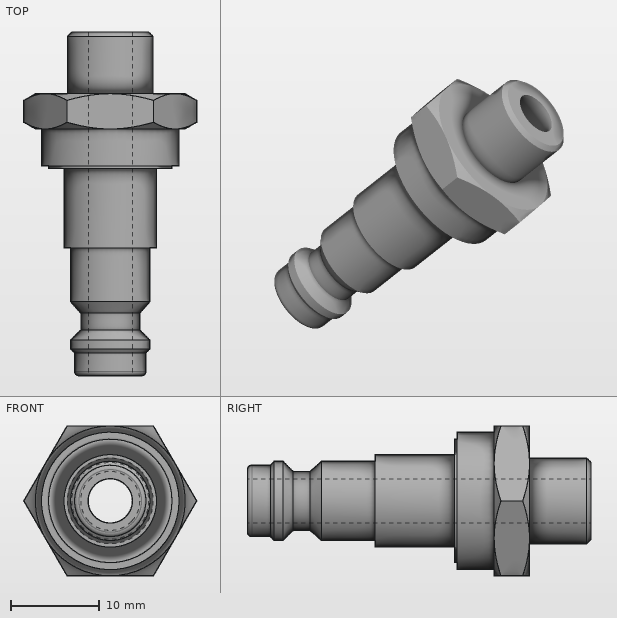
import cadquery as cq
import math

retaining_ring_start = 2.6
retaining_ring_full = 3.05
retaining_ring_end = 4.05
neck_start = 5.2
neck_end = 7.1
nipple_full = 8.4
nipple_end = 14.5
body_end = 23.5
hex_start = 28.0
hex_end = 32.0
total_length = 39.0
seal_step_height = 0.3

tip_diameter = 8.1
nipple_diameter = 9.0
neck_diameter = 6.7
body_diameter = 10.5
seal_step_diameter = 14.0
collar_diameter = 15.6
thread_diameter = 9.73
bore_diameter = 5.0

hex_sides = 6
hex_across_flats = 17.0
hex_chamfer_angle = 30.0
tip_fillet = 0.5
thread_chamfer = 0.5


def revolve_about_y(points):
    """Revolve a closed (radius, y) outline around the Y axis."""
    return cq.Workplane("XY").polyline(points).close().revolve(360, (0, 0, 0), (0, 1, 0))


def make_turned_body():
    """Turned profile from the nipple tip to the threaded end."""
    tip_radius = tip_diameter / 2
    nipple_radius = nipple_diameter / 2
    neck_radius = neck_diameter / 2
    body_radius = body_diameter / 2
    seal_step_radius = seal_step_diameter / 2
    collar_radius = collar_diameter / 2
    thread_radius = thread_diameter / 2
    collar_start = body_end + seal_step_height
    profile = [
        (0, 0),
        (tip_radius, 0),
        (tip_radius, retaining_ring_start),
        (nipple_radius, retaining_ring_full),
        (nipple_radius, retaining_ring_end),
        (neck_radius, neck_start),
        (neck_radius, neck_end),
        (nipple_radius, nipple_full),
        (nipple_radius, nipple_end),
        (body_radius, nipple_end),
        (body_radius, body_end),
        (seal_step_radius, body_end),
        (seal_step_radius, collar_start),
        (collar_radius, collar_start),
        (collar_radius, hex_start),
        (thread_radius, hex_start),
        (thread_radius, total_length - thread_chamfer),
        (thread_radius - thread_chamfer, total_length),
        (0, total_length),
    ]
    return revolve_about_y(profile).faces("<Y").edges().fillet(tip_fillet)


def make_hexagon():
    """Wrench hexagon, corners on the X axis, with both faces cone-chamfered."""
    inner_radius = hex_across_flats / 2
    corner_radius = inner_radius / math.cos(math.pi / hex_sides)
    chamfer_height = (corner_radius - inner_radius) * math.tan(math.radians(hex_chamfer_angle))
    prism = (
        cq.Workplane("XZ", origin=(0, hex_end, 0))
        .polygon(hex_sides, 2 * corner_radius)
        .extrude(hex_end - hex_start)
    )
    chamfer_envelope = revolve_about_y([
        (0, hex_start),
        (inner_radius, hex_start),
        (corner_radius, hex_start + chamfer_height),
        (corner_radius, hex_end - chamfer_height),
        (inner_radius, hex_end),
        (0, hex_end),
    ])
    return prism.intersect(chamfer_envelope)


def make_bore():
    """Through bore along the Y axis."""
    return cq.Workplane("XZ").circle(bore_diameter / 2).extrude(-total_length)


result = make_turned_body().union(make_hexagon()).cut(make_bore())